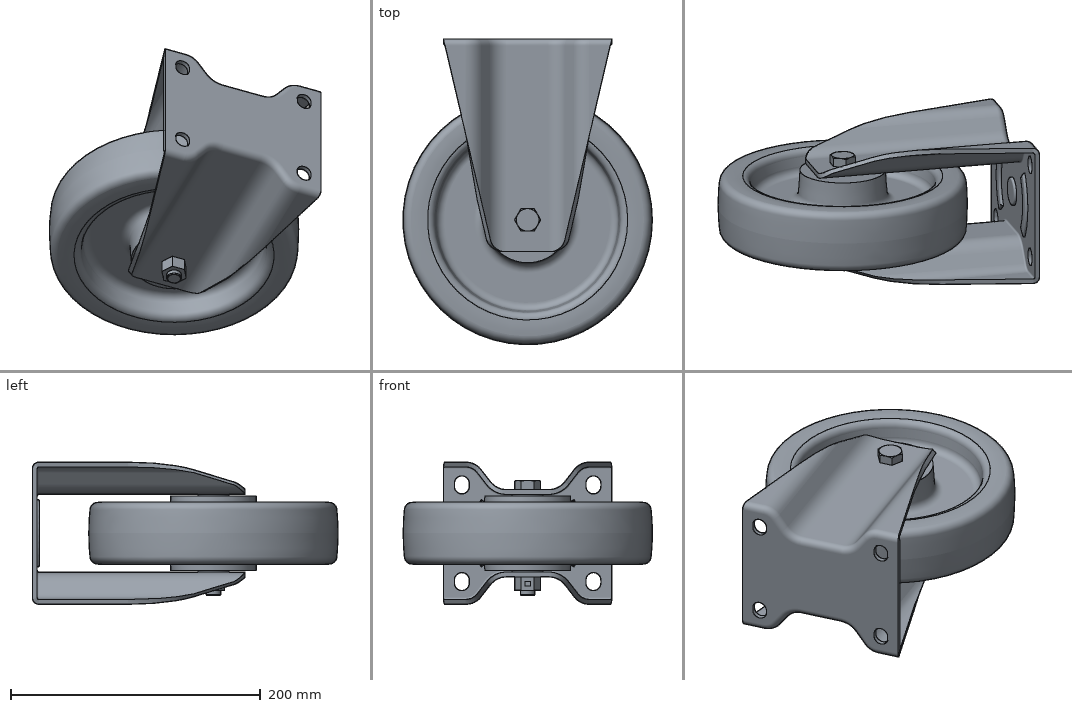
import cadquery as cq
import math


tread_radius = 100.0
tread_edge_radius = 99.0
tread_edge_z = 18.4
face_outer_radius = 93.3
face_z = 24.7
face_crown = 0.37
rim_radius = 80.0
rim_top_radius = 74.2
rim_bottom_radius = 73.0
rim_wall_top_z = 18.9
web_fillet_z = 11.5
web_outer_radius = 66.6
web_inner_radius = 42.6
web_z = 5.0
hub_radius = 34.3
hub_foot_radius = 35.5
hub_z = 30.0

sheet = 4.0
plate_back_y = 145.0
plate_inner_y = plate_back_y - sheet
fork_end_y = -25.5
fork_half_width = 135.0 / 2
fork_half_height = 114.0 / 2
leg_outer_z = 35.0
leg_inner_z = leg_outer_z - sheet
leg_flat_half = 34.0 / 2
ear_start_x = 49.5
valley_radius = 16.2
crest_radius = 15.5
plate_bend_radius = 5.5
leg_end_half_width = 55.1 / 2
leg_corner_radius = 12.2

hole_x = 52.7
hole_z = 38.7
hole_width = 11.8
hole_length = 14.2

emboss_height = 2.0
rib_inner_radius = 35.8
rib_outer_radius = 45.8
rib_half_angle = 36.0
plate_boss_radius = 11.5
emboss_rounding = 1.5

sleeve_radius = 12.5
bolt_radius = 6.0
bolt_end_z = -50.0
bolt_chamfer = 0.7
hex_flats = 18.1
hex_corners = hex_flats / math.cos(math.radians(30))
head_height = 7.4
nut_height = 10.8
nut_mark_width = 4.5
nut_mark_height = 3.5
nut_mark_depth = 0.5


def arc_middle(start, end, corner):
    """Middle point of the rounding from start to end whose tangents meet in corner."""
    middle_x = (start[0] + end[0]) / 2
    middle_z = (start[1] + end[1]) / 2
    share = math.sqrt(2) - 1
    return (
        middle_x + (corner[0] - middle_x) * share,
        middle_z + (corner[1] - middle_z) * share,
    )


def revolved_with_mirror(half_profile):
    """Revolve a half section (radius, z) about Z and add its mirror image below z = 0."""
    upper = half_profile.close().revolve(360, (0, 0, 0), (0, 1, 0))
    return upper.union(upper.mirror("XY"))


def make_tyre():
    tread_edge = (tread_edge_radius, tread_edge_z)
    face_edge = (face_outer_radius, face_z)
    face_width = face_outer_radius - rim_radius
    face_slope = 4 * face_crown / face_width
    corner = (tread_edge_radius, face_z - face_slope * (tread_edge_radius - face_outer_radius))
    crown_top = (rim_radius + face_width / 2, face_z + face_crown)
    tread_arc_radius = tread_edge_z ** 2 / (2 * (tread_radius - tread_edge_radius))
    upper = (
        cq.Workplane("XZ")
        .moveTo(rim_radius, 0)
        .lineTo(tread_radius, 0)
        .radiusArc(tread_edge, -tread_arc_radius)
        .threePointArc(arc_middle(tread_edge, face_edge, corner), face_edge)
        .threePointArc(crown_top, (rim_radius, face_z))
    )
    return revolved_with_mirror(upper)


def make_wheel_core():
    rim_edge = (rim_radius, face_z)
    rim_wall_top = (rim_top_radius, rim_wall_top_z)
    rim_wall_bottom = (rim_bottom_radius, web_fillet_z)
    web_outer = (web_outer_radius, web_z)
    web_inner = (web_inner_radius, web_z)
    hub_foot = (hub_foot_radius, web_fillet_z)
    upper = (
        cq.Workplane("XZ")
        .moveTo(sleeve_radius, 0)
        .lineTo(rim_radius, 0)
        .lineTo(*rim_edge)
        .threePointArc(arc_middle(rim_edge, rim_wall_top, (rim_top_radius, face_z)), rim_wall_top)
        .lineTo(*rim_wall_bottom)
        .threePointArc(arc_middle(rim_wall_bottom, web_outer, (rim_bottom_radius, web_z)), web_outer)
        .lineTo(*web_inner)
        .threePointArc(arc_middle(web_inner, hub_foot, (hub_foot_radius, web_z)), hub_foot)
        .lineTo(hub_radius, hub_z)
        .lineTo(sleeve_radius, hub_z)
    )
    return revolved_with_mirror(upper)


def wavy_block(start_y, end_y):
    """Solid block whose top and bottom follow the outer surfaces of the two legs."""
    valley_z = leg_outer_z + valley_radius
    crest_z = fork_half_height - crest_radius
    run = ear_start_x - leg_flat_half
    rise = crest_z - valley_z
    slope = math.atan2(rise, run) + math.asin((valley_radius + crest_radius) / math.hypot(run, rise))

    def valley_point(angle):
        return (
            leg_flat_half + valley_radius * math.sin(angle),
            valley_z - valley_radius * math.cos(angle),
        )

    def crest_point(angle):
        return (
            ear_start_x - crest_radius * math.sin(angle),
            crest_z + crest_radius * math.cos(angle),
        )

    quarter = (
        cq.Workplane("XZ", origin=(0, start_y, 0))
        .lineTo(0, leg_outer_z)
        .lineTo(*valley_point(0))
        .threePointArc(valley_point(slope / 2), valley_point(slope))
        .lineTo(*crest_point(slope))
        .threePointArc(crest_point(slope / 2), crest_point(0))
        .lineTo(fork_half_width, fork_half_height)
        .lineTo(fork_half_width, 0)
        .close()
        .extrude(start_y - end_y)
    )
    half = quarter.union(quarter.mirror("YZ"))
    return half.union(half.mirror("XY")).clean()


def leg_outline():
    """Tapered outline of plate edge and legs seen along the axle, as a tall block."""
    return (
        cq.Workplane("XY", origin=(0, 0, -fork_half_height))
        .polyline([
            (-fork_half_width, plate_back_y),
            (fork_half_width, plate_back_y),
            (leg_end_half_width, fork_end_y),
            (-leg_end_half_width, fork_end_y),
        ])
        .close()
        .extrude(2 * fork_half_height)
        .edges("|Z and <Y")
        .fillet(leg_corner_radius)
    )


def make_bent_sheet():
    """Plate and legs: the outer skin, trimmed to the outline and thickened along its normals."""
    skin = (
        wavy_block(fork_end_y, plate_back_y)
        .faces(">Y").edges("not |Z")
        .fillet(plate_bend_radius)
        .faces("not(<X or >X or <Y)")
    )
    outline = leg_outline().val()
    pieces = []
    for skin_face in skin.vals():
        for trimmed_face in skin_face.intersect(outline).Faces():
            pieces.append(trimmed_face.thicken(-sheet))
    return cq.Workplane(pieces[0].fuse(*pieces[1:]).clean())


def make_arc_rib():
    """Raised rib on the plate's inner face, along an arc on the -X side."""
    angle = math.radians(rib_half_angle)

    def point(radius, at):
        return (-radius * math.cos(at), radius * math.sin(at))

    return (
        cq.Workplane("XZ", origin=(0, plate_inner_y, 0))
        .moveTo(*point(rib_inner_radius, -angle))
        .threePointArc(point(rib_inner_radius, 0), point(rib_inner_radius, angle))
        .lineTo(*point(rib_outer_radius, angle))
        .threePointArc(point(rib_outer_radius, 0), point(rib_outer_radius, -angle))
        .close()
        .extrude(emboss_height)
        .faces("<Y").edges()
        .fillet(emboss_rounding)
    )


def make_plate_boss():
    return (
        cq.Workplane("XZ", origin=(0, plate_inner_y, 0))
        .circle(plate_boss_radius)
        .extrude(emboss_height)
        .faces("<Y").edges()
        .fillet(emboss_rounding)
    )


def make_fork():
    mounting_holes = (
        cq.Workplane("XZ", origin=(0, plate_back_y, 0))
        .rect(2 * hole_x, 2 * hole_z, forConstruction=True)
        .vertices()
        .slot2D(hole_length, hole_width, 90)
        .extrude(sheet)
    )
    axle_holes = cq.Workplane("XY").circle(bolt_radius).extrude(leg_outer_z, both=True)
    rib = make_arc_rib()
    return (
        make_bent_sheet()
        .union(rib)
        .union(rib.mirror("YZ"))
        .union(make_plate_boss())
        .cut(mounting_holes)
        .cut(axle_holes)
    )


def make_sleeve():
    """Tube round the bolt that keeps the legs apart."""
    return (
        cq.Workplane("XY")
        .circle(sleeve_radius)
        .circle(bolt_radius)
        .extrude(leg_inner_z, both=True)
    )


def make_bolt():
    head = (
        cq.Workplane("XY", origin=(0, 0, leg_outer_z))
        .polygon(6, hex_corners)
        .extrude(head_height)
    )
    cone_rise = hex_flats / 2 * math.tan(math.radians(30))
    bevel = (
        cq.Workplane("XZ")
        .lineTo(0, leg_outer_z + head_height)
        .lineTo(hex_flats / 2, leg_outer_z + head_height)
        .lineTo(hex_flats, leg_outer_z + head_height - cone_rise)
        .lineTo(hex_flats, 0)
        .close()
        .revolve(360, (0, 0, 0), (0, 1, 0))
    )
    shank = (
        cq.Workplane("XY", origin=(0, 0, bolt_end_z))
        .circle(bolt_radius)
        .extrude(leg_outer_z - bolt_end_z)
        .faces("<Z").chamfer(bolt_chamfer)
    )
    return head.intersect(bevel).union(shank)


def make_nut():
    mark = cq.Workplane("XY").box(nut_mark_width, 2 * nut_mark_depth, nut_mark_height)
    return (
        cq.Workplane("XY", origin=(0, 0, -leg_outer_z))
        .polygon(6, hex_corners)
        .circle(bolt_radius)
        .extrude(-nut_height)
        .cut(mark.translate((0, -hex_flats / 2, -leg_outer_z - nut_height / 2)))
    )


fork = make_fork()
tyre = make_tyre()
wheel_core = make_wheel_core()
sleeve = make_sleeve()
bolt = make_bolt()
nut = make_nut()

result = cq.Compound.makeCompound([
    fork.solids().val(),
    tyre.solids().val(),
    wheel_core.solids().val(),
    sleeve.solids().val(),
    bolt.solids().val(),
    nut.solids().val(),
])